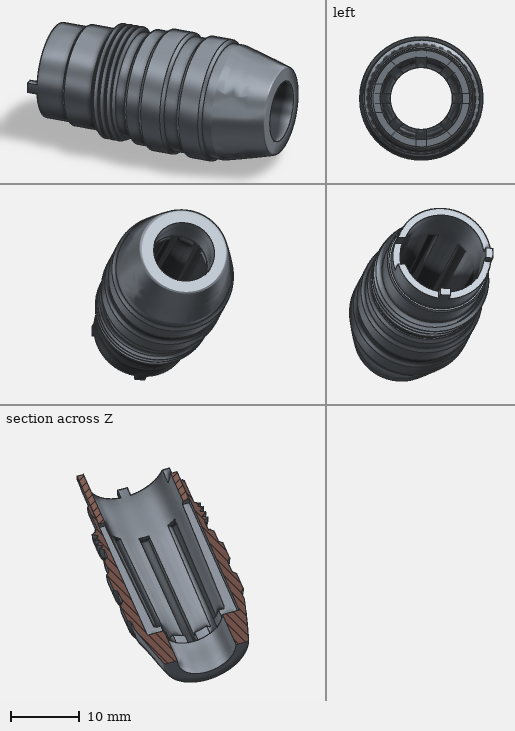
import cadquery as cq
import math


overall_length = 37.2
cable_hole_radius = 4.5
collet_radius = 7.05
nut_end_wall = 6.0
collet_end = overall_length - nut_end_wall

collet_bore_radius = 6.0
tab_length = 1.5
tab_width = 1.5
notch_width = 4.15
notch_end = 4.0
slit_start = 9.5
slit_width = 1.5
slit_count = 8
finger_bore_end_radius = 5.5
finger_fillet = 0.45
finger_lip_thickness = 1.5

nut_front = 5.7
nut_front_radius = 7.5
nut_front_chamfer_length = 0.3
nut_front_chamfer_depth = 0.2
front_sleeve_length = 4.5
thread_length = 4.0
neck_radius = 7.8
neck_length = 1.5
grip_radius = 8.5
grip_chamfer = 0.5
front_land_length = 2.5
ring_radius = 9.0
ring_length = 4.0
ring_chamfer = 0.5
ring_gap = 2.0
ring_count = 2
rear_land_length = 1.5
tail_end_radius = 6.5
tail_bulge = 0.04
tail_fillet = 0.4

thread_start = nut_front + front_sleeve_length
thread_end = thread_start + thread_length
grip_start = thread_end + neck_length
first_ring_start = grip_start + front_land_length
last_ring_end = first_ring_start + ring_count * ring_length + (ring_count - 1) * ring_gap
tail_start = last_ring_end + rear_land_length

thread_pitch = 1.0
thread_radius = grip_radius
thread_flat = thread_pitch / 8
flank_slope = math.tan(math.radians(60))
thread_depth = (thread_pitch / 2 - thread_flat) * flank_slope
thread_root_radius = thread_radius - thread_depth
groove_overcut = 0.05
groove_start = thread_start - 0.95
groove_length = thread_length + 2 * thread_pitch


def revolve_about_x(profile):
    """Turn a closed XY profile, with Y as the radius, about the X axis."""
    return profile.close().revolve(360, (0, 0, 0), (1, 0, 0))


def box_between(x_start, x_end, y_start, y_end, width):
    """Box between the given X and Y limits, centred on Z = 0."""
    size = (x_end - x_start, y_end - y_start, width)
    return cq.Workplane("XY").box(*size, centered=(False, False, True)).translate((x_start, y_start, 0))


def collet_sleeve():
    """Tube whose bore narrows along the fingers to a lip round the cable hole."""
    lip_face = collet_end - finger_lip_thickness
    fillet_start = lip_face - finger_fillet
    fillet_inner_radius = finger_bore_end_radius - finger_fillet
    return revolve_about_x(
        cq.Workplane("XY")
        .moveTo(0, collet_radius)
        .lineTo(collet_end, collet_radius)
        .lineTo(collet_end, cable_hole_radius)
        .lineTo(lip_face, cable_hole_radius)
        .lineTo(lip_face, fillet_inner_radius)
        .radiusArc((fillet_start, finger_bore_end_radius), -finger_fillet)
        .lineTo(slit_start, collet_bore_radius)
        .lineTo(0, collet_bore_radius)
    )


def key_tab_zone():
    """Boxes holding the two key tabs, on the -Y and the -Z side."""
    side_tab = box_between(0, tab_length, -collet_radius, 0, tab_width)
    return side_tab.union(side_tab.rotate((0, 0, 0), (1, 0, 0), 90))


def make_collet():
    collet = collet_sleeve()

    front_ring = cq.Workplane("YZ").circle(collet_radius).extrude(tab_length)
    collet = collet.cut(front_ring.cut(key_tab_zone()))

    collet = collet.cut(box_between(0, notch_end, 0, collet_radius, notch_width))

    slit = box_between(slit_start, collet_end, 0, collet_radius, slit_width)
    for index in range(slit_count):
        collet = collet.cut(slit.rotate((0, 0, 0), (1, 0, 0), index * 360 / slit_count))
    return collet


def nut_front_sleeve():
    return revolve_about_x(
        cq.Workplane("XY")
        .moveTo(nut_front, collet_radius)
        .lineTo(nut_front, nut_front_radius - nut_front_chamfer_depth)
        .lineTo(nut_front + nut_front_chamfer_length, nut_front_radius)
        .lineTo(thread_start, nut_front_radius)
        .lineTo(thread_start, collet_radius)
    )


def thread_groove():
    """Helical V cutter; it starts on the +Z side and advances clockwise towards +X."""
    cutter_radius = thread_radius + groove_overcut
    root_half = thread_flat / 2
    top_half = (thread_pitch - thread_flat) / 2 + groove_overcut / flank_slope
    helix = cq.Wire.makeHelix(thread_pitch, groove_length, thread_root_radius)
    cutter = (
        cq.Workplane("XZ")
        .moveTo(thread_root_radius, root_half)
        .lineTo(cutter_radius, top_half)
        .lineTo(cutter_radius, -top_half)
        .lineTo(thread_root_radius, -root_half)
        .close()
        .sweep(cq.Workplane(obj=helix), isFrenet=True)
    )
    cutter = cutter.rotate((0, 0, 0), (0, 1, 0), 90)
    return cutter.rotate((0, 0, 0), (1, 0, 0), 180).translate((groove_start, 0, 0))


def threaded_section():
    """Thread with both ends chamfered at the flank angle."""
    front_chamfer = (thread_radius - nut_front_radius) / flank_slope
    rear_chamfer = (thread_radius - neck_radius) / flank_slope
    envelope = revolve_about_x(
        cq.Workplane("XY")
        .moveTo(thread_start, collet_radius)
        .lineTo(thread_start, nut_front_radius)
        .lineTo(thread_start + front_chamfer, thread_radius)
        .lineTo(thread_end - rear_chamfer, thread_radius)
        .lineTo(thread_end, neck_radius)
        .lineTo(thread_end, collet_radius)
    )
    tube = cq.Workplane("YZ").workplane(offset=thread_start).circle(thread_radius).circle(collet_radius)
    return tube.extrude(thread_length).cut(thread_groove()).intersect(envelope)


def grip_and_tail():
    """Neck, grip rings and bulged tail, with the blind bore for the collet and the cable hole."""
    profile = (
        cq.Workplane("XY")
        .moveTo(thread_end, collet_radius)
        .lineTo(thread_end, neck_radius)
        .lineTo(grip_start, neck_radius)
        .lineTo(grip_start, grip_radius - grip_chamfer)
        .lineTo(grip_start + grip_chamfer, grip_radius)
    )
    for index in range(ring_count):
        ring_start = first_ring_start + index * (ring_length + ring_gap)
        ring_end = ring_start + ring_length
        profile = (
            profile.lineTo(ring_start, grip_radius)
            .lineTo(ring_start + ring_chamfer, ring_radius)
            .lineTo(ring_end - ring_chamfer, ring_radius)
            .lineTo(ring_end, grip_radius)
        )
    tail_middle = ((tail_start + overall_length) / 2, (grip_radius + tail_end_radius) / 2 + tail_bulge)
    profile = (
        profile.lineTo(tail_start, grip_radius)
        .threePointArc(tail_middle, (overall_length, tail_end_radius))
        .lineTo(overall_length, cable_hole_radius)
        .lineTo(collet_end, cable_hole_radius)
        .lineTo(collet_end, collet_radius)
    )
    tail_rim = cq.selectors.RadiusNthSelector(-1)
    return revolve_about_x(profile).faces(">X").edges(tail_rim).fillet(tail_fillet)


def make_nut():
    return nut_front_sleeve().union(threaded_section()).union(grip_and_tail())


collet = make_collet()
nut = make_nut()
result = cq.Compound.makeCompound([collet.val(), nut.val()])